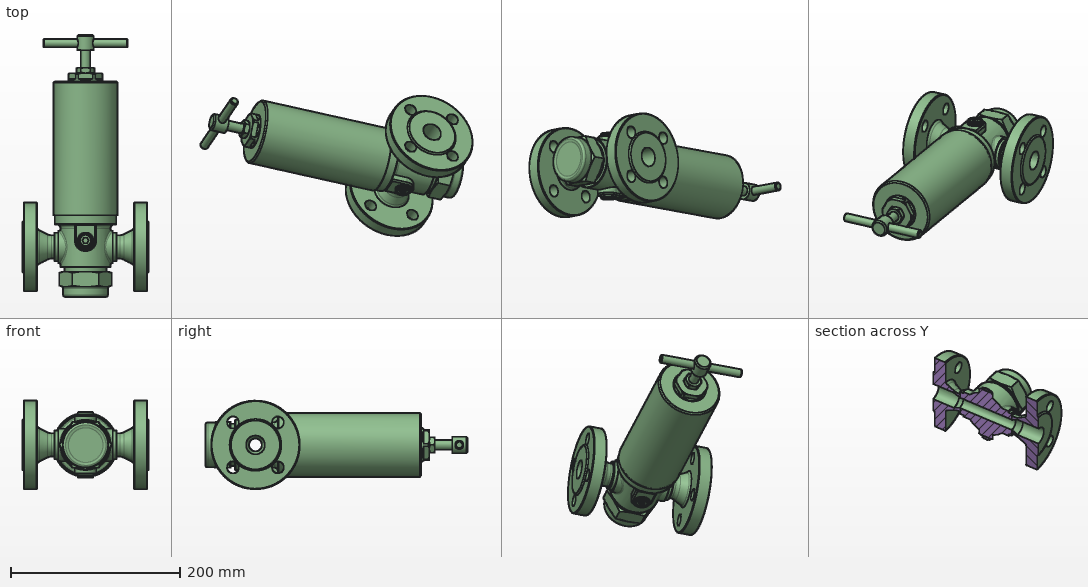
import cadquery as cq
import math


CAP_END_Y = -59.2
CAP_HEX_BOTTOM_Y = -47.0
CAP_HEX_TOP_Y = -29.0
BODY_BOTTOM_Y = -24.2
COLLAR_BOTTOM_Y = 26.5
BONNET_BOTTOM_Y = 37.5
BONNET_TOP_Y = 196.0
BONNET_HEX_TOP_Y = 205.5
LOCKNUT_TOP_Y = 212.0
HEAD_BOTTOM_Y = 232.5
OVERALL_LENGTH = 310
HEAD_TOP_Y = CAP_END_Y + OVERALL_LENGTH

FACE_X = 75.0
RAISED_HEIGHT = 2.0
RIM_BACK_X = 57.0
NECK_END_X = 37.2
RIM_DIAMETER = 105.0
RIM_RADIUS = RIM_DIAMETER / 2
RIM_CHAMFER = 1.0
RAISED_FACE_RADIUS = 28.8
RAISED_BASE_RADIUS = 30.7
NECK_RADIUS = 14.0
NECK_STRAIGHT_X = 40.3
BLEND_X = 45.3
BLEND_RADIUS = 15.2
HUB_X = 54.5
HUB_RADIUS = 19.8
HUB_BASE_RADIUS = 22.0
BOLT_CIRCLE_RADIUS = 37.5
BOLT_HOLE_DIAMETER = 14.0
BOLT_COUNT = 4
MOUTH_RADIUS = 11.2
BORE_RADIUS = 7.5

BODY_RADIUS = 29.8
BODY_FILLET = 4.0
BODY_EDGE = 0.5
COLLAR_RADIUS = 36.5
COLLAR_CHAMFER = 1.0
BOSS_RADIUS = 19.2
BOSS_END_X = 32.2
BOSS_FILLET = 2.0
SPIGOT_RADIUS = 17.0
SPIGOT_CHAMFER = 1.0
PAD_RADIUS = 12.7
PAD_TOP_Z = 35.7
PAD_CHAMFER = 2.0
PLUG_Y = 7.8

PLUG_TOP_Z = 39.0
PLUG_RADIUS = 9.3
PLUG_CHAMFER = 1.2
PLUG_RING_RADIUS = 6.5
PLUG_RING_DEPTH = 0.5
SOCKET_CORNERS = 7.5
SOCKET_DEPTH = 3

CAP_RADIUS = 26.7
CAP_ROUND = 2.8
CAP_FLARE_HEIGHT = 1.5
CAP_DISH_RADIUS = 20.5
CAP_DISH_DEPTH = 0.5
CAP_COLLAR_RADIUS = 25.0
CAP_HEX_FLATS = 54.3
CAP_HEX_CHAMFER = 1.5

BONNET_DIAMETER = 76.0
BONNET_RADIUS = BONNET_DIAMETER / 2
BONNET_CHAMFER = 2.0
STUB_RADIUS = 20.0
STUB_CHAMFER = 1.2
BONNET_HEX_FLATS = 36.3
RUNOUT_HEIGHT = 3

SPINDLE_RADIUS = 6.0
HEAD_RADIUS = 10.0
HEAD_CHAMFER = 2.0
LOCKNUT_FLATS = 18.5
LOCKNUT_CHAMFER = 1.0
BAR_Y = 241.0
BAR_RADIUS = 5.0
BAR_LENGTH = 100.0
BAR_CHAMFER = 1.2


def plane_at_y(y):
    """Plane across the valve axis, facing +Y, with its X along the world X."""
    return cq.Plane(origin=(0, y, 0), xDir=(1, 0, 0), normal=(0, 1, 0))


def cylinder_y(radius, bottom, top):
    return cq.Workplane(plane_at_y(bottom)).circle(radius).extrude(top - bottom)


def cylinder_x(radius, half_length):
    return cq.Workplane("YZ").circle(radius).extrude(half_length, both=True)


def corners_across(flats):
    return flats / math.cos(math.pi / 6)


def hexagon_y(flats, bottom, top, taper=0):
    """Hexagonal prism on the valve axis with flats facing +Z and -Z."""
    sketch = cq.Workplane(plane_at_y(bottom)).polygon(6, corners_across(flats))
    return sketch.extrude(top - bottom, taper=taper)


def chamfered_hexagon_y(flats, bottom, top, chamfer):
    """Hexagonal prism whose corners are turned down to the flats at both ends."""
    flat_radius = flats / 2
    corner_radius = corners_across(flats) / 2
    envelope = (
        cq.Workplane("XY")
        .moveTo(0, bottom)
        .lineTo(flat_radius, bottom)
        .lineTo(corner_radius, bottom + chamfer)
        .lineTo(corner_radius, top - chamfer)
        .lineTo(flat_radius, top)
        .lineTo(0, top)
        .close()
        .revolve(360, (0, 0, 0), (0, 1, 0))
    )
    return hexagon_y(flats, bottom, top).intersect(envelope)


def make_pad():
    """Tongue on the +Z side, round at its lower end and running up into the collar."""
    side_length = COLLAR_BOTTOM_Y + COLLAR_CHAMFER - PLUG_Y
    round_end = cq.Workplane("XY").center(0, PLUG_Y).circle(PAD_RADIUS).extrude(PAD_TOP_Z)
    sides = (
        cq.Workplane("XY")
        .center(0, PLUG_Y + side_length / 2)
        .rect(2 * PAD_RADIUS, side_length)
        .extrude(PAD_TOP_Z)
    )
    pad = round_end.union(sides)
    return pad.faces(">Z").chamfer(PAD_CHAMFER)


def make_body():
    body = cylinder_y(BODY_RADIUS, BODY_BOTTOM_Y, BONNET_BOTTOM_Y).faces("<Y").chamfer(BODY_EDGE)
    body = body.union(cylinder_x(BOSS_RADIUS, BOSS_END_X))
    saddles = cq.selectors.BoxSelector(
        (-BODY_RADIUS - BODY_EDGE, -BOSS_RADIUS - BODY_EDGE, -BODY_RADIUS),
        (BODY_RADIUS + BODY_EDGE, BOSS_RADIUS + BODY_EDGE, BODY_RADIUS),
        boundingbox=True,
    )
    body = body.edges(saddles).edges("not %LINE").fillet(BOSS_FILLET)
    collar = cylinder_y(COLLAR_RADIUS, COLLAR_BOTTOM_Y, BONNET_BOTTOM_Y)
    collar = collar.faces("<Y").chamfer(COLLAR_CHAMFER)
    cove = (
        cq.Workplane("XY")
        .moveTo(0, COLLAR_BOTTOM_Y)
        .lineTo(BODY_RADIUS + BODY_FILLET, COLLAR_BOTTOM_Y)
        .radiusArc((BODY_RADIUS, COLLAR_BOTTOM_Y - BODY_FILLET), -BODY_FILLET)
        .lineTo(0, COLLAR_BOTTOM_Y - BODY_FILLET)
        .close()
        .revolve(360, (0, 0, 0), (0, 1, 0))
    )
    spigots = cylinder_x(SPIGOT_RADIUS, NECK_END_X).faces("<X or >X").chamfer(SPIGOT_CHAMFER)
    pad = make_pad()
    body = body.union(collar).union(cove).union(spigots)
    body = body.union(pad).union(pad.mirror("XY"))
    return body.cut(cylinder_x(BORE_RADIUS, NECK_END_X))


def make_flange(side):
    """Weld-neck flange whose bore narrows inside the neck; side is +1 or -1 along X."""
    raised_base_x = FACE_X - RAISED_HEIGHT
    flange = (
        cq.Workplane("XY")
        .moveTo(NECK_END_X, BORE_RADIUS)
        .lineTo(NECK_END_X, NECK_RADIUS)
        .lineTo(NECK_STRAIGHT_X, NECK_RADIUS)
        .tangentArcPoint((BLEND_X, BLEND_RADIUS), relative=False)
        .lineTo(HUB_X, HUB_RADIUS)
        .tangentArcPoint((RIM_BACK_X, HUB_BASE_RADIUS), relative=False)
        .lineTo(RIM_BACK_X, RIM_RADIUS - RIM_CHAMFER)
        .lineTo(RIM_BACK_X + RIM_CHAMFER, RIM_RADIUS)
        .lineTo(raised_base_x - RIM_CHAMFER, RIM_RADIUS)
        .lineTo(raised_base_x, RIM_RADIUS - RIM_CHAMFER)
        .lineTo(raised_base_x, RAISED_BASE_RADIUS)
        .lineTo(FACE_X, RAISED_FACE_RADIUS)
        .lineTo(FACE_X, MOUTH_RADIUS)
        .lineTo(BLEND_X, MOUTH_RADIUS)
        .close()
        .revolve(360, (0, 0, 0), (1, 0, 0))
    )
    bolt_holes = (
        cq.Workplane("YZ")
        .polarArray(BOLT_CIRCLE_RADIUS, 180 / BOLT_COUNT, 360, BOLT_COUNT)
        .circle(BOLT_HOLE_DIAMETER / 2)
        .extrude(FACE_X)
    )
    flange = flange.cut(bolt_holes)
    return flange if side > 0 else flange.mirror("YZ")


def make_plug(side):
    """Round plug with a hexagon socket, seated on a pad; side is +1 or -1 along Z."""
    plug = cq.Workplane("XY", origin=(0, PLUG_Y, PAD_TOP_Z)).circle(PLUG_RADIUS)
    plug = plug.extrude(PLUG_TOP_Z - PAD_TOP_Z).faces(">Z").chamfer(PLUG_CHAMFER)
    top = cq.Workplane("XY", origin=(0, PLUG_Y, PLUG_TOP_Z))
    plug = plug.cut(top.circle(PLUG_RING_RADIUS).extrude(-PLUG_RING_DEPTH))
    plug = plug.cut(top.polygon(6, SOCKET_CORNERS).extrude(-SOCKET_DEPTH))
    return plug if side > 0 else plug.mirror("XY")


def make_cap():
    collar = cylinder_y(CAP_COLLAR_RADIUS, CAP_HEX_TOP_Y, BODY_BOTTOM_Y)
    hexagon = chamfered_hexagon_y(CAP_HEX_FLATS, CAP_HEX_BOTTOM_Y, CAP_HEX_TOP_Y, CAP_HEX_CHAMFER)
    end_radius = CAP_RADIUS - CAP_ROUND
    dished_end = (
        cq.Workplane("XY")
        .moveTo(0, CAP_HEX_BOTTOM_Y)
        .lineTo(CAP_HEX_FLATS / 2, CAP_HEX_BOTTOM_Y)
        .lineTo(CAP_RADIUS, CAP_HEX_BOTTOM_Y - CAP_FLARE_HEIGHT)
        .lineTo(CAP_RADIUS, CAP_END_Y + CAP_ROUND)
        .radiusArc((end_radius, CAP_END_Y), CAP_ROUND)
        .lineTo(CAP_DISH_RADIUS, CAP_END_Y + CAP_DISH_DEPTH)
        .lineTo(0, CAP_END_Y + CAP_DISH_DEPTH)
        .close()
        .revolve(360, (0, 0, 0), (0, 1, 0))
    )
    return collar.union(hexagon).union(dished_end)


def make_bonnet():
    """Plain cylinder carrying a turned stub whose hexagon flats run out on 45-degree slopes."""
    shell = cylinder_y(BONNET_RADIUS, BONNET_BOTTOM_Y, BONNET_TOP_Y)
    shell = shell.faces(">Y").chamfer(BONNET_CHAMFER)
    stub = cylinder_y(STUB_RADIUS, BONNET_TOP_Y, BONNET_HEX_TOP_Y)
    stub = stub.faces(">Y").chamfer(STUB_CHAMFER)
    runout_base_flats = BONNET_HEX_FLATS + 2 * RUNOUT_HEIGHT
    runout_top_y = BONNET_TOP_Y + RUNOUT_HEIGHT
    runout = hexagon_y(runout_base_flats, BONNET_TOP_Y, runout_top_y, taper=45)
    flats = hexagon_y(BONNET_HEX_FLATS, runout_top_y, BONNET_HEX_TOP_Y)
    stub = stub.intersect(runout.union(flats))
    spindle_hole = cylinder_y(SPINDLE_RADIUS, BONNET_TOP_Y, BONNET_HEX_TOP_Y)
    return shell.union(stub).cut(spindle_hole)


def make_locknut():
    nut = chamfered_hexagon_y(LOCKNUT_FLATS, BONNET_HEX_TOP_Y, LOCKNUT_TOP_Y, LOCKNUT_CHAMFER)
    return nut.cut(cylinder_y(SPINDLE_RADIUS, BONNET_HEX_TOP_Y, LOCKNUT_TOP_Y))


def make_spindle():
    stem = cylinder_y(SPINDLE_RADIUS, BONNET_TOP_Y, HEAD_BOTTOM_Y)
    head = cylinder_y(HEAD_RADIUS, HEAD_BOTTOM_Y, HEAD_TOP_Y).faces(">Y").chamfer(HEAD_CHAMFER)
    bar_hole = cylinder_x(BAR_RADIUS, BAR_LENGTH / 2).translate((0, BAR_Y, 0))
    return stem.union(head).cut(bar_hole)


def make_bar():
    bar = cylinder_x(BAR_RADIUS, BAR_LENGTH / 2).translate((0, BAR_Y, 0))
    return bar.faces("<X or >X").chamfer(BAR_CHAMFER)


body = make_body()
cap = make_cap()
bonnet = make_bonnet()
locknut = make_locknut()
spindle = make_spindle()
bar = make_bar()
flanges = [make_flange(side) for side in (1, -1)]
plugs = [make_plug(side) for side in (1, -1)]

result = cq.Compound.makeCompound(
    [
        body.val(),
        cap.val(),
        bonnet.val(),
        locknut.val(),
        spindle.val(),
        bar.val(),
        *[flange.val() for flange in flanges],
        *[plug.val() for plug in plugs],
    ]
)